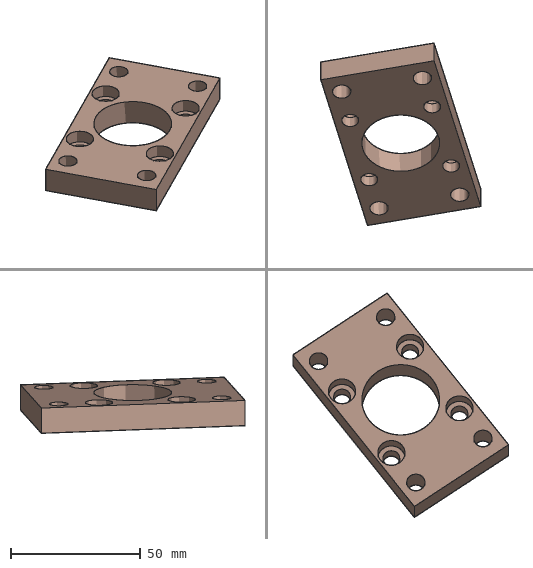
import cadquery as cq

width = 45.0
length = 80.0
thickness = 10.0

bore_diameter = 30.0

corner_hole_diameter = 7.0
corner_spacing_x = 32.0
corner_spacing_y = 2 * corner_spacing_x

screw_hole_diameter = 6.5
screw_spacing = 32.5
counterbore_diameter = 10.5
counterbore_depth = 5.0

plate = cq.Workplane("XY").box(width, length, thickness, centered=(True, True, False))
plate = plate.faces(">Z").workplane().hole(bore_diameter)

plate = (
    plate.faces(">Z").workplane(centerOption="CenterOfBoundBox")
    .rarray(corner_spacing_x, corner_spacing_y, 2, 2)
    .hole(corner_hole_diameter)
)

plate = (
    plate.faces(">Z").workplane(centerOption="CenterOfBoundBox")
    .rarray(screw_spacing, screw_spacing, 2, 2)
    .cboreHole(screw_hole_diameter, counterbore_diameter, counterbore_depth)
)

result = plate